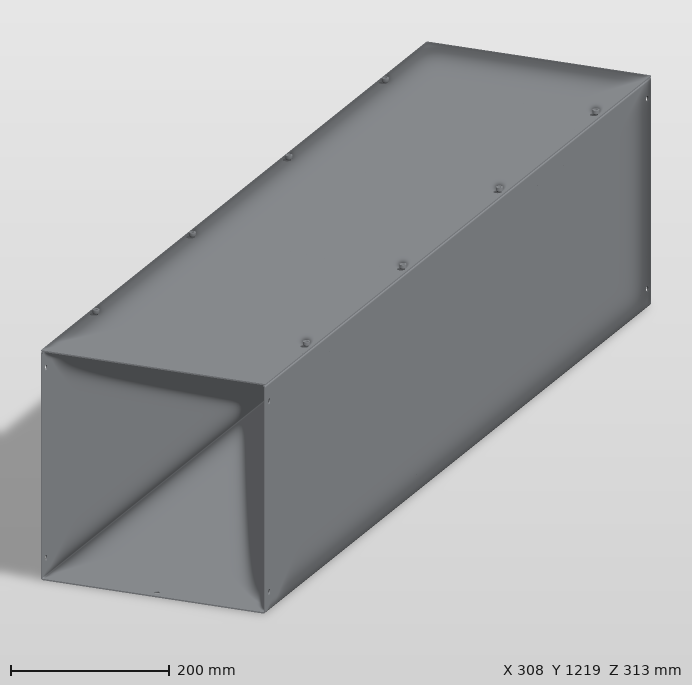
import cadquery as cq

LENGTH = 1219.0
WIDTH = 308.0
HEIGHT = 313.0
SHEET = 1.8
BEND_RADIUS = 3.0

FLANGE_WIDTH = 20.0
FLANGE_SETBACK = 15.0

SCREWS_PER_SIDE = 4
SCREW_PITCH = LENGTH / SCREWS_PER_SIDE
SCREW_INSET = 9.5
HEAD_DIAMETER = 9.1
HEAD_HEIGHT = 4.4
SOCKET_DIAMETER = 4.4
SOCKET_DEPTH = 2.0
SHANK_DIAMETER = 6.0
SHANK_LENGTH = 7.0

KEYHOLE_DIAMETER = 10.4
KEYHOLE_OFFSET = 6.7

JOINING_HOLE_DIAMETER = 7.0 
JOINING_HOLE_END_INSET = 12.0
SIDE_HOLE_EDGE_INSET = 25.0

LID_TOP = HEIGHT - HEAD_HEIGHT
TROUGH_TOP = LID_TOP - SHEET
JOINING_HOLE_Y = [end * (LENGTH / 2 - JOINING_HOLE_END_INSET) for end in (-1, 1)]
SCREW_POINTS = [
    (side * (WIDTH / 2 - SCREW_INSET), (index - (SCREWS_PER_SIDE - 1) / 2) * SCREW_PITCH)
    for side in (-1, 1)
    for index in range(SCREWS_PER_SIDE)
]


def rounded_bar(width, height, bottom, radius):
    """Bar along the whole duct length with its four long edges rounded."""
    return (
        cq.Workplane("XY", origin=(0, 0, bottom))
        .box(width, LENGTH, height, centered=(True, True, False))
        .edges("|Y")
        .fillet(radius)
    )


def make_tube():
    """Closed sheet tube from which the trough is opened."""
    outside = rounded_bar(WIDTH, TROUGH_TOP, 0, BEND_RADIUS)
    inside = rounded_bar(WIDTH - 2 * SHEET, TROUGH_TOP - 2 * SHEET, SHEET, BEND_RADIUS - SHEET)
    return outside.cut(inside)


def make_top_opening():
    """Cutter that leaves two flanges on the tube's top, mitred at 45 degrees at both ends."""
    free_x = WIDTH / 2 - FLANGE_WIDTH
    bend_x = WIDTH / 2 - BEND_RADIUS
    bend_y = LENGTH / 2 - FLANGE_SETBACK
    free_y = bend_y - (bend_x - free_x)
    end_y = LENGTH / 2
    return (
        cq.Workplane("XY", origin=(0, 0, TROUGH_TOP - BEND_RADIUS))
        .polyline([
            (-bend_x, -end_y), (bend_x, -end_y), (bend_x, -bend_y), (free_x, -free_y),
            (free_x, free_y), (bend_x, bend_y), (bend_x, end_y), (-bend_x, end_y),
            (-bend_x, bend_y), (-free_x, free_y), (-free_x, -free_y), (-bend_x, -bend_y),
        ])
        .close()
        .extrude(BEND_RADIUS)
    )


def make_shanks():
    """All screw shanks, used to cut their holes in the flanges."""
    return (
        cq.Workplane("XY", origin=(0, 0, LID_TOP))
        .pushPoints(SCREW_POINTS)
        .circle(SHANK_DIAMETER / 2)
        .extrude(-SHANK_LENGTH)
    )


def make_side_holes():
    """Rods that cut the joining holes through both walls."""
    levels = (SIDE_HOLE_EDGE_INSET, TROUGH_TOP - SIDE_HOLE_EDGE_INSET)
    return (
        cq.Workplane("YZ")
        .pushPoints([(y, z) for y in JOINING_HOLE_Y for z in levels])
        .circle(JOINING_HOLE_DIAMETER / 2)
        .extrude(WIDTH, both=True)
    )


def make_floor_holes():
    """Rods that cut the joining holes through the middle of the floor."""
    return (
        cq.Workplane("XY")
        .pushPoints([(0, y) for y in JOINING_HOLE_Y])
        .circle(JOINING_HOLE_DIAMETER / 2)
        .extrude(SHEET)
    )


def make_trough():
    """Folded sheet trough with floor, two walls and two lid flanges."""
    trough = make_tube().cut(make_top_opening())
    return trough.cut(make_side_holes()).cut(make_floor_holes()).cut(make_shanks())


def make_keyhole(x, y):
    """Cutter with a narrow slot that ends round the screw shank and a wide end beside it."""
    lid_bottom = cq.Workplane("XY", origin=(x, y, TROUGH_TOP))
    slot_end = lid_bottom.circle(SHANK_DIAMETER / 2).extrude(SHEET)
    slot_middle = lid_bottom.center(0, -KEYHOLE_OFFSET / 2)
    slot = slot_middle.rect(SHANK_DIAMETER, KEYHOLE_OFFSET).extrude(SHEET)
    wide_end = lid_bottom.center(0, -KEYHOLE_OFFSET).circle(KEYHOLE_DIAMETER / 2).extrude(SHEET)
    return slot_end.union(slot).union(wide_end)


def make_lid():
    """Flat plate on top of the flanges, with a keyhole for every screw."""
    lid = (
        cq.Workplane("XY", origin=(0, 0, TROUGH_TOP))
        .box(WIDTH, LENGTH, SHEET, centered=(True, True, False))
    )
    for x, y in SCREW_POINTS:
        lid = lid.cut(make_keyhole(x, y))
    return lid


def make_screw(x, y):
    """Round socket head on the lid, with a shank through the lid and the flange."""
    seat = cq.Workplane("XY", origin=(x, y, LID_TOP))
    head = seat.circle(HEAD_DIAMETER / 2).extrude(HEAD_HEIGHT)
    socket = seat.workplane(offset=HEAD_HEIGHT).circle(SOCKET_DIAMETER / 2).extrude(-SOCKET_DEPTH)
    shank = seat.circle(SHANK_DIAMETER / 2).extrude(-SHANK_LENGTH)
    return head.cut(socket).union(shank)


trough = make_trough()
lid = make_lid()
screws = [make_screw(x, y).val() for x, y in SCREW_POINTS]

result = cq.Compound.makeCompound([trough.val(), lid.val(), *screws])